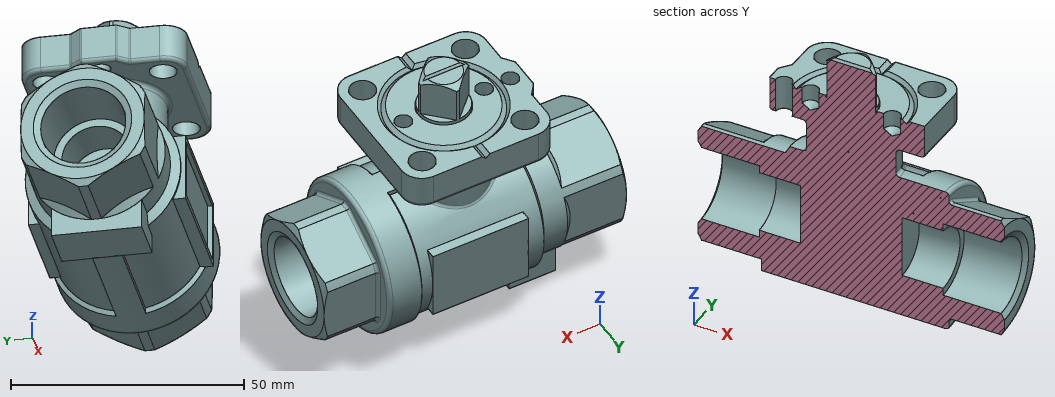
import cadquery as cq
import math

LENGTH = 75.0
CONE_SLOPE = math.tan(math.radians(30))

HEX_FLATS = 27.0
HEX_CORNER_R = 15.0
LEFT_HEX_END_X = -22.0
HEX_FILLET = 0.75

BODY_R = 17.0
BODY_LEFT_X = -15.0
RING_R = 18.0
RING_LEFT_X = 15.85
RING_RIGHT_X = 24.0
RING_FILLET = 1.0

THREAD_R = 9.3
THREAD_MOUTH_R = 10.75
THREAD_DEPTH = 15.0
BORE_R = 7.5
BORE_DEPTH = 25.0

RIB_HALF_WIDTH = 3.25

FOOT_LENGTH = 11.5
FOOT_WIDTH = 19.75
FOOT_TOP_Z = -11.0

FRAME_LEFT_X = -14.55
FRAME_HEIGHT = 15.4
FRAME_BORDER = 1.15
FRAME_POCKET_DEPTH = 1.0

PAD_LEFT_X = -11.1
PAD_RIGHT_X = 12.6
PAD_HEIGHT = 17.1
PAD_Y = 17.1

NECK_R = 11.0
NECK_TOP_FILLET = 1.0
NECK_BODY_FILLET = 0.8
FLANGE_SIZE = 36.0
FLANGE_TOP_Z = 33.4
FLANGE_THICKNESS = 8.4
FLANGE_CORNER_R = 5.0
FLANGE_EDGE_FILLET = 0.9
BOLT_CIRCLE_D = 36.0
BOLT_HOLE_D = 6.0

TAB_X = -20.0
TAB_TIP_HALF = 3.9
TAB_ROOT_HALF = 6.5
TAB_EDGE_FILLET = 0.5
TAB_HOLE_X = -16.5
SMALL_HOLE_D = 4.0

GROOVE_INNER_R = 12.5
GROOVE_BOTTOM_R = 13.5
GROOVE_OUTER_R = 14.25
GROOVE_DEPTH = 0.9
NOTCH_HALF_WIDTH = 1.0
NOTCH_DEPTH = 0.9
CAP_HOLE_X = 10.0
CAP_HOLE_DEPTH = 4.0
DRILL_POINT_SLOPE = math.tan(math.radians(31))

STEM_TOP_Z = 43.54
STEM_R = 6.0
STEM_FLATS = 9.0
STEM_TOP_R = 4.25
STEM_COLLAR = 0.65
STEM_GAP = 0.2
STEM_GAP_DEPTH = 0.5
STEM_SLOT_HALF_WIDTH = 0.5

FLANGE_BOTTOM_Z = FLANGE_TOP_Z - FLANGE_THICKNESS
RIGHT_END_X = LENGTH / 2
LEFT_END_X = -LENGTH / 2


def box_between(x0, x1, y0, y1, z0, z1):
    """Axis-aligned box between two opposite corners."""
    return cq.Workplane("XY").box(x1 - x0, y1 - y0, z1 - z0, centered=False).translate((x0, y0, z0))


def turned_on_x(points):
    """Solid of revolution about X from (x, radius) points."""
    return cq.Workplane("XY").polyline(points).close().revolve(360, (0, 0, 0), (1, 0, 0))


def turned_on_z(points):
    """Solid of revolution about Z from (radius, z) points."""
    return cq.Workplane("XZ").polyline(points).close().revolve(360, (0, 0, 0), (0, 1, 0))


def cylinder_on_z(x, y, radius, z0, z1):
    return cq.Workplane("XY", origin=(x, y, z0)).circle(radius).extrude(z1 - z0)


def hex_prism(x0, x1):
    """Hexagon along X with two corners on the Z axis."""
    across_corners = HEX_FLATS / math.cos(math.pi / 6)
    return cq.Workplane("YZ", origin=(x0, 0, 0)).transformed(rotate=(0, 0, 90)).polygon(
        6, across_corners).extrude(x1 - x0)


def left_end():
    """Hexagon with a chamfered mouth and a 45 degree run-out into the round body."""
    flat_r = HEX_FLATS / 2
    step = HEX_CORNER_R - flat_r
    chamfer = step * CONE_SLOPE
    blank = turned_on_x([
        (LEFT_END_X, 0),
        (LEFT_END_X, flat_r),
        (LEFT_END_X + chamfer, HEX_CORNER_R),
        (LEFT_HEX_END_X, HEX_CORNER_R),
        (LEFT_HEX_END_X, 0),
    ])
    run_out = turned_on_x([
        (LEFT_HEX_END_X - step, 0),
        (LEFT_HEX_END_X - step, flat_r),
        (LEFT_HEX_END_X, HEX_CORNER_R),
        (LEFT_HEX_END_X, 0),
    ])
    return blank.intersect(hex_prism(LEFT_END_X, LEFT_HEX_END_X)).union(run_out)


def right_end():
    """Hexagon with a chamfered mouth, starting inside the ring."""
    flat_r = HEX_FLATS / 2
    chamfer = (HEX_CORNER_R - flat_r) * CONE_SLOPE
    blank = turned_on_x([
        (RING_LEFT_X, 0),
        (RING_LEFT_X, HEX_CORNER_R),
        (RIGHT_END_X - chamfer, HEX_CORNER_R),
        (RIGHT_END_X, flat_r),
        (RIGHT_END_X, 0),
    ])
    return blank.intersect(hex_prism(RING_LEFT_X, RIGHT_END_X))


def turned_body():
    """Round body with the larger ring at its right end."""
    left_cone = (BODY_R - HEX_CORNER_R) * CONE_SLOPE
    ring_cone = (RING_R - BODY_R) * CONE_SLOPE
    body = turned_on_x([
        (LEFT_HEX_END_X, 0),
        (LEFT_HEX_END_X, HEX_CORNER_R),
        (BODY_LEFT_X - left_cone, HEX_CORNER_R),
        (BODY_LEFT_X, BODY_R),
        (RING_LEFT_X - ring_cone, BODY_R),
        (RING_LEFT_X, RING_R),
        (RING_RIGHT_X, RING_R),
        (RING_RIGHT_X, 0),
    ])
    return body.faces(">X").edges().fillet(RING_FILLET)


def rib(x0, side):
    """Rib above (side 1) or below (side -1) the body, from x0 to the ring and level with it."""
    bar = box_between(x0, RING_LEFT_X, -RIB_HALF_WIDTH, RIB_HALF_WIDTH, min(0, side * RING_R), max(0, side * RING_R))
    return bar.intersect(turned_on_x([(x0, 0), (x0, RING_R), (RING_LEFT_X, RING_R), (RING_LEFT_X, 0)]))


def foot():
    return box_between(
        LEFT_HEX_END_X, LEFT_HEX_END_X + FOOT_LENGTH,
        -FOOT_WIDTH / 2, FOOT_WIDTH / 2, -RING_R, FOOT_TOP_Z)


def label_frame():
    half = FRAME_HEIGHT / 2
    return box_between(FRAME_LEFT_X, RING_LEFT_X, -RING_R, 0, -half, half)


def label_pocket():
    half = FRAME_HEIGHT / 2 - FRAME_BORDER
    return box_between(
        FRAME_LEFT_X + FRAME_BORDER, RING_LEFT_X - FRAME_BORDER,
        -RING_R, -RING_R + FRAME_POCKET_DEPTH, -half, half)


def back_pad():
    return box_between(PAD_LEFT_X, PAD_RIGHT_X, 0, PAD_Y, -PAD_HEIGHT / 2, PAD_HEIGHT / 2)


def neck():
    return cylinder_on_z(0, 0, NECK_R, 0, FLANGE_BOTTOM_Z)


def flange():
    """Square plate with a pointer tab and a rounded lower edge."""
    half = FLANGE_SIZE / 2
    plate = (
        cq.Workplane("XY", origin=(0, 0, FLANGE_BOTTOM_Z))
        .rect(FLANGE_SIZE, FLANGE_SIZE)
        .extrude(FLANGE_THICKNESS)
        .edges("|Z")
        .fillet(FLANGE_CORNER_R)
    )
    tab = (
        cq.Workplane("XY", origin=(0, 0, FLANGE_BOTTOM_Z))
        .polyline([
            (0, -TAB_ROOT_HALF),
            (-half, -TAB_ROOT_HALF),
            (TAB_X, -TAB_TIP_HALF),
            (TAB_X, TAB_TIP_HALF),
            (-half, TAB_ROOT_HALF),
            (0, TAB_ROOT_HALF),
        ])
        .close()
        .extrude(FLANGE_THICKNESS)
    )
    tab_corners = cq.selectors.BoxSelector(
        (TAB_X - 1, -TAB_ROOT_HALF - 1, FLANGE_BOTTOM_Z),
        (-half + 1, TAB_ROOT_HALF + 1, FLANGE_TOP_Z))
    plate = plate.union(tab).edges("|Z").edges(tab_corners).fillet(TAB_EDGE_FILLET)
    return plate.faces("<Z").edges().fillet(FLANGE_EDGE_FILLET)


def flange_cuts():
    """Bolt holes, pointer hole, ring groove, two notches and two cap holes."""
    cuts = turned_on_z([
        (GROOVE_INNER_R, FLANGE_TOP_Z),
        (GROOVE_BOTTOM_R, FLANGE_TOP_Z - GROOVE_DEPTH),
        (GROOVE_OUTER_R, FLANGE_TOP_Z),
    ])
    bolt_offset = BOLT_CIRCLE_D / 2 * math.sqrt(0.5)
    through = [(sx * bolt_offset, sy * bolt_offset, BOLT_HOLE_D) for sx in (-1, 1) for sy in (-1, 1)]
    through.append((TAB_HOLE_X, 0, SMALL_HOLE_D))
    for x, y, diameter in through:
        cuts = cuts.union(cylinder_on_z(x, y, diameter / 2, FLANGE_BOTTOM_Z, FLANGE_TOP_Z))
    notch = (
        cq.Workplane("XZ", origin=(0, -GROOVE_BOTTOM_R, 0))
        .polyline([
            (-NOTCH_HALF_WIDTH, FLANGE_TOP_Z),
            (0, FLANGE_TOP_Z - NOTCH_DEPTH),
            (NOTCH_HALF_WIDTH, FLANGE_TOP_Z),
        ])
        .close()
        .extrude(FLANGE_SIZE / 2 - GROOVE_BOTTOM_R)
    )
    cuts = cuts.union(notch).union(notch.mirror("XZ"))
    hole_r = SMALL_HOLE_D / 2
    cap_hole = turned_on_z([
        (0, FLANGE_TOP_Z),
        (hole_r, FLANGE_TOP_Z),
        (hole_r, FLANGE_TOP_Z - CAP_HOLE_DEPTH),
        (0, FLANGE_TOP_Z - CAP_HOLE_DEPTH - hole_r * DRILL_POINT_SLOPE),
    ])
    for x in (-CAP_HOLE_X, CAP_HOLE_X):
        cuts = cuts.union(cap_hole.translate((x, 0, 0)))
    return cuts


def stem():
    """Square drive with rounded corners and a slotted, chamfered top, on a round collar."""
    base_z = FLANGE_TOP_Z - STEM_GAP_DEPTH
    collar_top_z = FLANGE_TOP_Z + STEM_COLLAR
    chamfer = (STEM_R - STEM_TOP_R) * CONE_SLOPE
    blank = turned_on_z([
        (0, base_z),
        (STEM_R, base_z),
        (STEM_R, STEM_TOP_Z - chamfer),
        (STEM_TOP_R, STEM_TOP_Z),
        (0, STEM_TOP_Z),
    ])
    square = (
        cq.Workplane("XY", origin=(0, 0, collar_top_z))
        .transformed(rotate=(0, 0, 45))
        .rect(STEM_FLATS, STEM_FLATS)
        .extrude(STEM_TOP_Z - collar_top_z)
    )
    envelope = square.union(cylinder_on_z(0, 0, STEM_R, base_z, collar_top_z))
    slot = (
        cq.Workplane("YZ", origin=(-STEM_R, 0, 0))
        .polyline([
            (-STEM_SLOT_HALF_WIDTH, STEM_TOP_Z),
            (0, STEM_TOP_Z - STEM_SLOT_HALF_WIDTH),
            (STEM_SLOT_HALF_WIDTH, STEM_TOP_Z),
        ])
        .close()
        .extrude(2 * STEM_R)
    )
    return blank.intersect(envelope).cut(slot)


def stem_gap():
    return cylinder_on_z(0, 0, STEM_R + STEM_GAP, FLANGE_TOP_Z - STEM_GAP_DEPTH, FLANGE_TOP_Z)


def end_bore():
    """Blind stepped bore of the left end, with a chamfered mouth."""
    return turned_on_x([
        (LEFT_END_X, 0),
        (LEFT_END_X, THREAD_MOUTH_R),
        (LEFT_END_X + (THREAD_MOUTH_R - THREAD_R) * CONE_SLOPE, THREAD_R),
        (LEFT_END_X + THREAD_DEPTH, THREAD_R),
        (LEFT_END_X + THREAD_DEPTH, BORE_R),
        (LEFT_END_X + BORE_DEPTH, BORE_R),
        (LEFT_END_X + BORE_DEPTH, 0),
    ])


def hex_root_edges():
    """Box around the joint between the right hexagon and the ring face."""
    reach = HEX_CORNER_R + 0.5
    margin = 0.1
    return cq.selectors.BoxSelector(
        (RING_RIGHT_X - margin, -reach, -reach), (RING_RIGHT_X + margin, reach, reach), boundingbox=True)


def neck_root_edges():
    """Box around the joint between the neck and the body."""
    reach = NECK_R + 0.5
    return cq.selectors.BoxSelector(
        (-reach, -reach, BODY_R / 2), (reach, reach, RING_R + 0.5), boundingbox=True)


def neck_top_edge():
    """Box around the joint between the neck and the flange."""
    reach = NECK_R + 0.5
    margin = 0.1
    return cq.selectors.BoxSelector(
        (-reach, -reach, FLANGE_BOTTOM_Z - margin), (reach, reach, FLANGE_BOTTOM_Z + margin), boundingbox=True)


pipe = turned_body().union(right_end())
pipe = pipe.edges(hex_root_edges()).fillet(HEX_FILLET)

body = pipe.union(rib(LEFT_HEX_END_X + FOOT_LENGTH, -1)).union(rib(0, 1)).union(neck())
body = body.edges(neck_root_edges()).edges("not |Z").fillet(NECK_BODY_FILLET)
body = body.union(left_end()).union(foot()).union(back_pad())
body = body.union(label_frame()).cut(label_pocket())

body = body.union(flange())
body = body.edges(neck_top_edge()).fillet(NECK_TOP_FILLET)
body = body.cut(flange_cuts()).cut(stem_gap()).union(stem())

left_bore = end_bore()
result = body.cut(left_bore).cut(left_bore.mirror("YZ"))